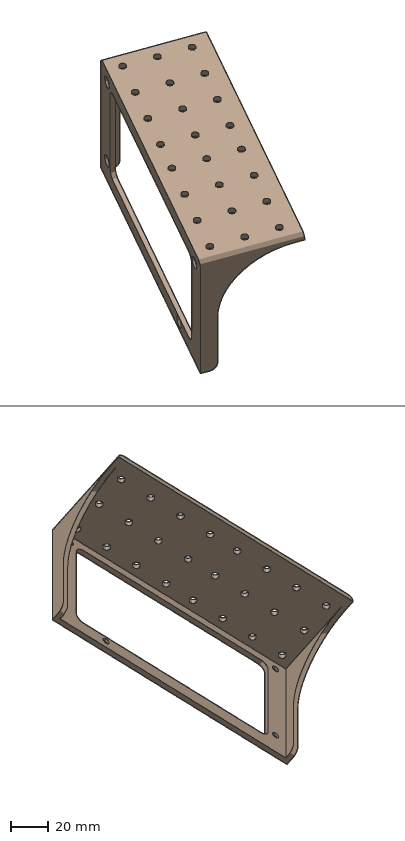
import cadquery as cq
width = 158.0
depth = 60.0
height = 90.0

shelf_thickness = 4.0
wall_thickness = 3.0
edge_radius = shelf_thickness

leg_depth = 10.0
gusset_curve_radius = 43.6
toe_radius = 5.0

window_left = 15.0
window_right = 144.0
window_bottom = 10.0
window_top = 80.1
window_corner_radius = 5.0

side_margin = 10.0
shelf_hole_diameter = 4.1
shelf_hole_pitch = 19.99
columns_per_group = 4
row_count = 3
first_row_y = 9.0

screw_hole_diameter = 4.0
screw_head_diameter = 7.1
screw_head_angle = 90.0
lower_left_screw_z = 16.0
bottom_screw_x = 124.0
bottom_screw_z = 6.0
screw_positions = [
    (side_margin, window_top),
    (width - side_margin, window_top),
    (side_margin, lower_left_screw_z),
    (bottom_screw_x, bottom_screw_z),
]

shelf_bottom = height - shelf_thickness


def make_shelf():
    shelf = cq.Workplane("XY").box(width, depth, shelf_thickness, centered=False)
    return shelf.translate((0, 0, shelf_bottom))


def make_face_plate():
    """Front plate with a round-cornered window."""
    plate = cq.Workplane("XY").box(width, wall_thickness, height, centered=False)
    window_width = window_right - window_left
    window_height = window_top - window_bottom
    window = (
        cq.Workplane("XY")
        .box(window_width, wall_thickness, window_height, centered=False)
        .edges("|Y")
        .fillet(window_corner_radius)
        .translate((window_left, 0, window_bottom))
    )
    return plate.cut(window)


def make_gusset(x_start):
    """Side web whose rear edge sweeps from the leg up to the underside of the shelf."""
    return (
        cq.Workplane("YZ", origin=(x_start, 0, 0))
        .lineTo(leg_depth - toe_radius, 0)
        .radiusArc((leg_depth, toe_radius), -toe_radius)
        .lineTo(leg_depth, shelf_bottom - gusset_curve_radius)
        .radiusArc((leg_depth + gusset_curve_radius, shelf_bottom), gusset_curve_radius)
        .lineTo(0, shelf_bottom)
        .close()
        .extrude(wall_thickness)
    )


def make_rounded_envelope():
    """Outer block whose two long upper side edges are rounded."""
    return (
        cq.Workplane("XY")
        .box(width, depth, height, centered=False)
        .faces(">Z")
        .edges("|Y")
        .fillet(edge_radius)
    )


def shelf_hole_centers():
    """Hole centres of the left group of columns and of its mirror image on the right."""
    centers = []
    for column in range(columns_per_group):
        offset = side_margin + column * shelf_hole_pitch
        for row in range(row_count):
            y = first_row_y + row * shelf_hole_pitch
            centers += [(offset, y), (width - offset, y)]
    return centers


def cut_shelf_holes(body):
    return (
        body.faces(">Z")
        .workplane(origin=(0, 0, height))
        .pushPoints(shelf_hole_centers())
        .circle(shelf_hole_diameter / 2)
        .cutBlind(-shelf_thickness)
    )


def cut_screw_holes(body):
    return (
        body.faces("<Y")
        .workplane(origin=(0, 0, 0))
        .pushPoints(screw_positions)
        .cskHole(screw_hole_diameter, screw_head_diameter, screw_head_angle, depth=wall_thickness)
    )


def make_bracket():
    body = make_shelf().union(make_face_plate())
    for x_start in (0, width - wall_thickness):
        body = body.union(make_gusset(x_start))
    body = body.intersect(make_rounded_envelope())
    body = cut_shelf_holes(body)
    return cut_screw_holes(body)


bracket = make_bracket()

result = cq.Compound.makeCompound([*bracket.solids().vals()])